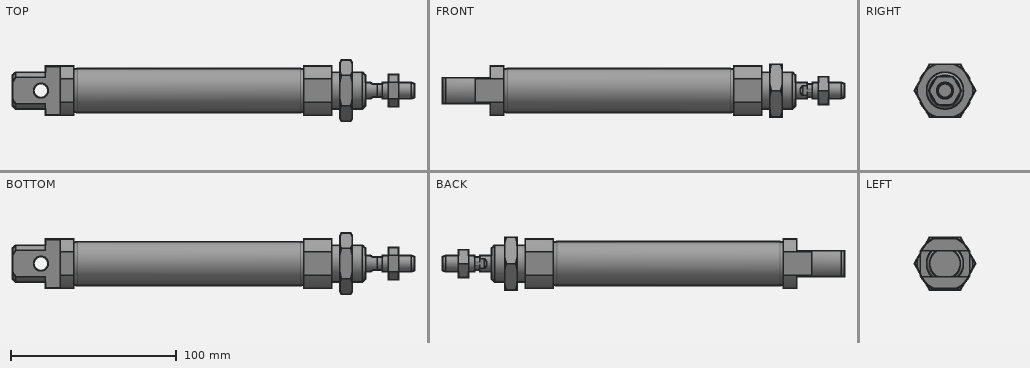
import cadquery as cq
import math


TAB_END = 20.0
SLOT_END = 29.0
REAR_CAP_END = 37.2
FRONT_CAP_START = 176.0
FRONT_CAP_END = 193.0
MOUNT_NUT_START = 197.8
NECK_END = 213.4
FLAT_START = 217.7
UNDERCUT_START = 220.5
UNDERCUT_END = 223.5
ROD_NUT_START = 227.2
ROD_END = 243.0

CAP_RADIUS = 16.5
CAP_FLAT_WIDTH = 30.0
TAB_THICKNESS = 15.8
TAB_RADIUS = 11.2
TAB_CHAMFER = 2.0
PIVOT_HOLE_X = 17.3
PIVOT_HOLE_DIAMETER = 8.5
NECK_RADIUS = 11.2
NECK_CHAMFER = 2.0

BARREL_RADIUS = 13.4
BARREL_TAPER_LENGTH = 2.0
BARREL_TAPER_DEPTH = 0.5

ROD_DIAMETER = 10.0
ROD_RADIUS = ROD_DIAMETER / 2
UNDERCUT_RADIUS = 4.1
WRENCH_FLAT_WIDTH = 8.0
FLAT_RAMP_ANGLE = 30.0
ROD_TIP_RADIUS = 4.1
ROD_TIP_LENGTH = 2.0

MOUNT_NUT_WIDTH = 32.0
MOUNT_NUT_THICKNESS = 7.5
MOUNT_NUT_FACE_RADIUS = 16.8
ROD_NUT_WIDTH = 17.0
ROD_NUT_THICKNESS = 6.0
NUT_CHAMFER_ANGLE = 30.0


def cylinder(start, end, radius):
    """A cylinder on the X axis."""
    return cq.Workplane("YZ").workplane(offset=start).circle(radius).extrude(end - start)


def bar(start, end, width, height):
    """A rectangular bar centred on the X axis, with its width along Y."""
    return cq.Workplane("YZ").workplane(offset=start).rect(width, height).extrude(end - start)


def turned(profile):
    """A solid of revolution about X from (x, radius) points."""
    return cq.Workplane("XY").polyline(profile).close().revolve(360, (0, 0, 0), (1, 0, 0))


def cap_blank(start, end):
    """A round blank with a flat on each of its four sides."""
    return cylinder(start, end, CAP_RADIUS).intersect(bar(start, end, CAP_FLAT_WIDTH, CAP_FLAT_WIDTH))


def make_rear_cap():
    """A cap with a flat-sided pivot tab and a cross hole through the tab."""
    tab = cylinder(0, TAB_END, TAB_RADIUS).faces("<X").chamfer(TAB_CHAMFER)
    stem = tab.union(cap_blank(TAB_END, SLOT_END))
    stem = stem.intersect(bar(0, SLOT_END, CAP_FLAT_WIDTH, TAB_THICKNESS))
    pivot_hole = (
        cq.Workplane("XY")
        .center(PIVOT_HOLE_X, 0)
        .circle(PIVOT_HOLE_DIAMETER / 2)
        .extrude(TAB_THICKNESS, both=True)
    )
    return stem.union(cap_blank(SLOT_END, REAR_CAP_END)).cut(pivot_hole)


def make_barrel():
    """The barrel between the caps, tapering slightly at both ends."""
    end_radius = BARREL_RADIUS - BARREL_TAPER_DEPTH
    profile = [
        (REAR_CAP_END, 0),
        (REAR_CAP_END, end_radius),
        (REAR_CAP_END + BARREL_TAPER_LENGTH, BARREL_RADIUS),
        (FRONT_CAP_START - BARREL_TAPER_LENGTH, BARREL_RADIUS),
        (FRONT_CAP_START, end_radius),
        (FRONT_CAP_START, 0),
    ]
    return turned(profile)


def make_front_cap():
    """A cap with a round mounting neck, chamfered at its outer end."""
    neck = cylinder(FRONT_CAP_END, NECK_END, NECK_RADIUS).faces(">X").chamfer(NECK_CHAMFER)
    return cap_blank(FRONT_CAP_START, FRONT_CAP_END).union(neck)


def make_rod():
    """The rod, with an undercut, a pair of ramped wrench flats and a tapered tip."""
    profile = [
        (NECK_END, 0),
        (NECK_END, ROD_RADIUS),
        (UNDERCUT_START, ROD_RADIUS),
        (UNDERCUT_START, UNDERCUT_RADIUS),
        (UNDERCUT_END, UNDERCUT_RADIUS),
        (UNDERCUT_END, ROD_RADIUS),
        (ROD_END - ROD_TIP_LENGTH, ROD_RADIUS),
        (ROD_END, ROD_TIP_RADIUS),
        (ROD_END, 0),
    ]
    rod = turned(profile)
    flat_depth = ROD_RADIUS - WRENCH_FLAT_WIDTH / 2
    ramp_length = flat_depth / math.tan(math.radians(FLAT_RAMP_ANGLE))
    flat_cut = (
        cq.Workplane("XY")
        .moveTo(FLAT_START, WRENCH_FLAT_WIDTH / 2)
        .lineTo(UNDERCUT_END, WRENCH_FLAT_WIDTH / 2)
        .lineTo(UNDERCUT_END, ROD_RADIUS)
        .lineTo(FLAT_START - ramp_length, ROD_RADIUS)
        .close()
        .extrude(ROD_RADIUS, both=True)
    )
    return rod.cut(flat_cut).cut(flat_cut.mirror("XZ"))


def corner_radius(width):
    """Centre-to-corner distance of a hexagon of the given width across flats."""
    return width / math.sqrt(3)


def hexagon_nut(start, thickness, width, bore_radius):
    """A hexagon nut with flats facing up and down and corners pointing along Y."""
    corner_diameter = 2 * corner_radius(width)
    return (
        cq.Workplane("YZ")
        .workplane(offset=start)
        .polygon(6, corner_diameter)
        .circle(bore_radius)
        .extrude(thickness)
    )


def make_mount_nut():
    """The nut on the neck, with its corners chamfered on both faces."""
    nut = hexagon_nut(MOUNT_NUT_START, MOUNT_NUT_THICKNESS, MOUNT_NUT_WIDTH, NECK_RADIUS)
    blank_radius = corner_radius(MOUNT_NUT_WIDTH)
    chamfer_width = blank_radius - MOUNT_NUT_FACE_RADIUS
    chamfer_length = chamfer_width * math.tan(math.radians(NUT_CHAMFER_ANGLE))
    end = MOUNT_NUT_START + MOUNT_NUT_THICKNESS
    profile = [
        (MOUNT_NUT_START, 0),
        (MOUNT_NUT_START, MOUNT_NUT_FACE_RADIUS),
        (MOUNT_NUT_START + chamfer_length, blank_radius),
        (end - chamfer_length, blank_radius),
        (end, MOUNT_NUT_FACE_RADIUS),
        (end, 0),
    ]
    turned_blank = turned(profile)
    return nut.intersect(turned_blank)


rear_cap = make_rear_cap()
barrel = make_barrel()
front_cap = make_front_cap()
mount_nut = make_mount_nut()
rod = make_rod()
rod_nut = hexagon_nut(ROD_NUT_START, ROD_NUT_THICKNESS, ROD_NUT_WIDTH, ROD_RADIUS)

result = cq.Compound.makeCompound(
    [rear_cap.val(), barrel.val(), front_cap.val(), mount_nut.val(), rod.val(), rod_nut.val()]
)